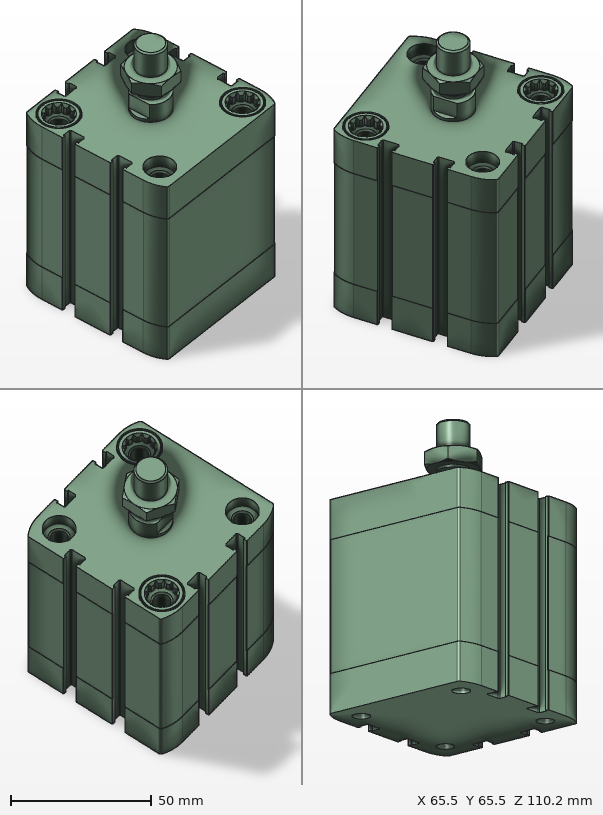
import cadquery as cq
import math

BODY_WIDTH = 65.5
BODY_HEIGHT = 80.0
CAP_HEIGHT = 15.0
HALF_WIDTH = BODY_WIDTH / 2

CORNER_ARC_RADIUS = 17.6
CORNER_ARC_START = 23.4
EDGE_RADIUS = 1.2

TUBE_INSET = 0.1

SLOT_OFFSET = 11.0
SLOT_MOUTH_WIDTH = 5.5
SLOT_INNER_WIDTH = 6.8
SLOT_LIP = 1.4
SLOT_DEPTH = 5.1
SLOT_FLOOR_CHAMFER = 0.4
SLOT_MOUTH_BEVEL = 0.2

HOLE_OFFSET = 23.3
HOLE_DIAMETER = 6.6
HOLE_MOUTH_DIAMETER = 7.9
COUNTERBORE_DIAMETER = 12.0
COUNTERBORE_DEPTH = 5.0

RING_OUTER_DIAMETER = 16.4
RING_INNER_DIAMETER = 15.5
RING_TOP_DIAMETER = 15.0
RING_DEPTH = 1.1
SOCKET_TIP_DIAMETER = 12.5
SOCKET_CREST_DIAMETER = 10.9
SOCKET_DEPTH = 4.4
SOCKET_MOUTH_DEPTH = 1.4

ROD_DIAMETER = 16.0
ROD_SHOULDER = 8.2
ROD_INSERTION = CAP_HEIGHT
WRENCH_FLAT_SIZE = 12.9
WRENCH_FLAT_BOTTOM = 1.8
WRENCH_FLAT_SLOPE_DROP = 0.7
NECK_DIAMETER = 10.2
NECK_END_DIAMETER = 10.7
NECK_BOTTOM = 8.9
NECK_TOP = 9.8
THREAD_RUNOUT_BOTTOM = 10.1
THREAD_DIAMETER = 12.0
THREAD_BOTTOM = 12.1
THREAD_TIP_CHAMFER = 0.7
TOTAL_HEIGHT = 110.2
ROD_PROJECTION = TOTAL_HEIGHT - BODY_HEIGHT

NUT_FLAT_SIZE = 19.0
NUT_HEIGHT = 6.0
NUT_BOTTOM = 13.2
NUT_CORNER_DROP = 0.7


def solid_of_revolution(profile, base_z):
    """Revolve (radius, height) points about Z, with height 0 at base_z."""
    return (
        cq.Workplane("XZ")
        .polyline(profile)
        .close()
        .revolve(360, (0, 0), (0, 1))
        .translate((0, 0, base_z))
    )


def slot_cutter(offset, face_distance, height):
    """T-slot at the given X offset, cut into a front face at the given distance from the axis."""
    mouth_half = SLOT_MOUTH_WIDTH / 2
    inner_half = SLOT_INNER_WIDTH / 2
    lip_y = -HALF_WIDTH + SLOT_LIP
    floor_y = -HALF_WIDTH + SLOT_DEPTH
    half_profile = [
        (mouth_half + SLOT_MOUTH_BEVEL, -face_distance),
        (mouth_half, -face_distance + SLOT_MOUTH_BEVEL),
        (mouth_half, lip_y),
        (inner_half, lip_y),
        (inner_half, floor_y - SLOT_FLOOR_CHAMFER),
        (inner_half - SLOT_FLOOR_CHAMFER, floor_y),
    ]
    mirrored_half = [(-x, y) for x, y in reversed(half_profile)]
    return (
        cq.Workplane("XY")
        .polyline(half_profile + mirrored_half)
        .close()
        .extrude(height)
        .translate((offset, 0, 0))
    )


def section(bottom, height, inset):
    """Slotted slice of the housing, its outline drawn in by the inset."""
    half = HALF_WIDTH - inset
    arc_radius = CORNER_ARC_RADIUS - inset
    arc_run = half - CORNER_ARC_START
    arc_center_y = half - arc_radius
    side_y = arc_center_y + math.sqrt(arc_radius**2 - arc_run**2)
    half_angle = math.asin(arc_run / arc_radius) / 2
    mid_x = CORNER_ARC_START + arc_radius * math.sin(half_angle)
    mid_y = arc_center_y + arc_radius * math.cos(half_angle)
    profile = (
        cq.Workplane("XY")
        .moveTo(-CORNER_ARC_START, half)
        .lineTo(CORNER_ARC_START, half)
        .threePointArc((mid_x, mid_y), (half, side_y))
        .lineTo(half, -side_y)
        .threePointArc((mid_x, -mid_y), (CORNER_ARC_START, -half))
        .lineTo(-CORNER_ARC_START, -half)
        .threePointArc((-mid_x, -mid_y), (-half, -side_y))
        .lineTo(-half, side_y)
        .threePointArc((-mid_x, mid_y), (-CORNER_ARC_START, half))
        .close()
    )
    body = profile.extrude(height).edges("|Z and (<X or >X)").fillet(EDGE_RADIUS - inset)

    for turn in (0, -90, 180):
        for offset in (-SLOT_OFFSET, SLOT_OFFSET):
            body = body.cut(slot_cutter(offset, half, height).rotate((0, 0, 0), (0, 0, 1), turn))
    return body.translate((0, 0, bottom))


def through_hole(recess_depth):
    """Hole down a corner, widened by a cone at the floor of the recess above it."""
    floor_z = BODY_HEIGHT - recess_depth
    hole_radius = HOLE_DIAMETER / 2
    mouth_radius = HOLE_MOUTH_DIAMETER / 2
    cone_start = floor_z - (mouth_radius - hole_radius)
    return solid_of_revolution(
        [(0, 0), (hole_radius, 0), (hole_radius, cone_start), (mouth_radius, floor_z), (0, floor_z)], 0
    )


def counterbore():
    return (
        cq.Workplane("XY", origin=(0, 0, BODY_HEIGHT - COUNTERBORE_DEPTH))
        .circle(COUNTERBORE_DIAMETER / 2)
        .extrude(COUNTERBORE_DEPTH)
    )


def star_socket():
    """Recess with twelve V-shaped notches between flat-topped teeth, and a conical mouth."""
    tip_radius = SOCKET_TIP_DIAMETER / 2
    crest_radius = SOCKET_CREST_DIAMETER / 2
    socket = cq.Workplane("XY").circle(crest_radius).extrude(SOCKET_DEPTH)
    for turn in (0, 30, 60):
        square = cq.Workplane("XY").polygon(4, SOCKET_TIP_DIAMETER).extrude(SOCKET_DEPTH)
        socket = socket.union(square.rotate((0, 0, 0), (0, 0, 1), turn))
    mouth = solid_of_revolution(
        [(0, -SOCKET_MOUTH_DEPTH), (crest_radius, -SOCKET_MOUTH_DEPTH), (tip_radius, 0), (0, 0)],
        SOCKET_DEPTH,
    )
    return socket.union(mouth).translate((0, 0, BODY_HEIGHT - SOCKET_DEPTH))


def ring_groove():
    """Narrow groove around a socket, with its inner rim bevelled."""
    rim_bevel = (RING_INNER_DIAMETER - RING_TOP_DIAMETER) / 2
    return solid_of_revolution(
        [
            (RING_TOP_DIAMETER / 2, 0),
            (RING_INNER_DIAMETER / 2, -rim_bevel),
            (RING_INNER_DIAMETER / 2, -RING_DEPTH),
            (RING_OUTER_DIAMETER / 2, -RING_DEPTH),
            (RING_OUTER_DIAMETER / 2, 0),
        ],
        BODY_HEIGHT,
    )


def make_housing():
    tube_height = BODY_HEIGHT - 2 * CAP_HEIGHT
    lower_cap = section(0, CAP_HEIGHT, 0)
    tube = section(CAP_HEIGHT, tube_height, TUBE_INSET)
    upper_cap = section(BODY_HEIGHT - CAP_HEIGHT, CAP_HEIGHT, 0)
    body = lower_cap.union(tube).union(upper_cap)

    for side_x in (-1, 1):
        for side_y in (-1, 1):
            place = (side_x * HOLE_OFFSET, side_y * HOLE_OFFSET, 0)
            if side_x == side_y:
                body = body.cut(through_hole(SOCKET_DEPTH).translate(place))
                body = body.cut(star_socket().translate(place))
                body = body.cut(ring_groove().translate(place))
            else:
                body = body.cut(through_hole(COUNTERBORE_DEPTH).translate(place))
                body = body.cut(counterbore().translate(place))

    rod_bore = (
        cq.Workplane("XY", origin=(0, 0, BODY_HEIGHT - ROD_INSERTION))
        .circle(ROD_DIAMETER / 2)
        .extrude(ROD_INSERTION)
    )
    return body.cut(rod_bore)


def wrench_flat_cutter():
    """Space beside the flat on the front of the rod, with a sloping floor."""
    flat_y = -WRENCH_FLAT_SIZE / 2
    outer_y = -ROD_DIAMETER / 2
    return (
        cq.Workplane("YZ", origin=(-ROD_DIAMETER / 2, 0, BODY_HEIGHT))
        .polyline(
            [
                (flat_y, ROD_SHOULDER),
                (flat_y, WRENCH_FLAT_BOTTOM),
                (outer_y, WRENCH_FLAT_BOTTOM - WRENCH_FLAT_SLOPE_DROP),
                (outer_y, ROD_SHOULDER),
            ]
        )
        .close()
        .extrude(ROD_DIAMETER)
    )


def make_rod():
    rod_radius = ROD_DIAMETER / 2
    neck_radius = NECK_DIAMETER / 2
    neck_end_radius = NECK_END_DIAMETER / 2
    thread_radius = THREAD_DIAMETER / 2
    rod = solid_of_revolution(
        [
            (0, -ROD_INSERTION),
            (rod_radius, -ROD_INSERTION),
            (rod_radius, ROD_SHOULDER),
            (neck_end_radius, ROD_SHOULDER),
            (neck_radius, NECK_BOTTOM),
            (neck_radius, NECK_TOP),
            (neck_end_radius, THREAD_RUNOUT_BOTTOM),
            (thread_radius, THREAD_BOTTOM),
            (thread_radius, ROD_PROJECTION - THREAD_TIP_CHAMFER),
            (thread_radius - THREAD_TIP_CHAMFER, ROD_PROJECTION),
            (0, ROD_PROJECTION),
        ],
        BODY_HEIGHT,
    )
    front_cutter = wrench_flat_cutter()
    return rod.cut(front_cutter).cut(front_cutter.mirror("XZ"))


def make_nut():
    """Hexagon nut with two corners on Y and its corners bevelled at both ends."""
    flat_radius = NUT_FLAT_SIZE / 2
    corner_radius = flat_radius / math.cos(math.pi / 6)
    bevelled_blank = solid_of_revolution(
        [
            (0, 0),
            (flat_radius, 0),
            (corner_radius, NUT_CORNER_DROP),
            (corner_radius, NUT_HEIGHT - NUT_CORNER_DROP),
            (flat_radius, NUT_HEIGHT),
            (0, NUT_HEIGHT),
        ],
        0,
    )
    bore = cq.Workplane("XY").circle(THREAD_DIAMETER / 2).extrude(NUT_HEIGHT)
    hexagon = cq.Workplane("XY").polygon(6, 2 * corner_radius).extrude(NUT_HEIGHT)
    hexagon = hexagon.rotate((0, 0, 0), (0, 0, 1), 30)
    nut = hexagon.intersect(bevelled_blank).cut(bore)
    return nut.translate((0, 0, BODY_HEIGHT + NUT_BOTTOM))


housing = make_housing()
rod = make_rod()
nut = make_nut()

result = cq.Compound.makeCompound([housing.val(), rod.val(), nut.val()])